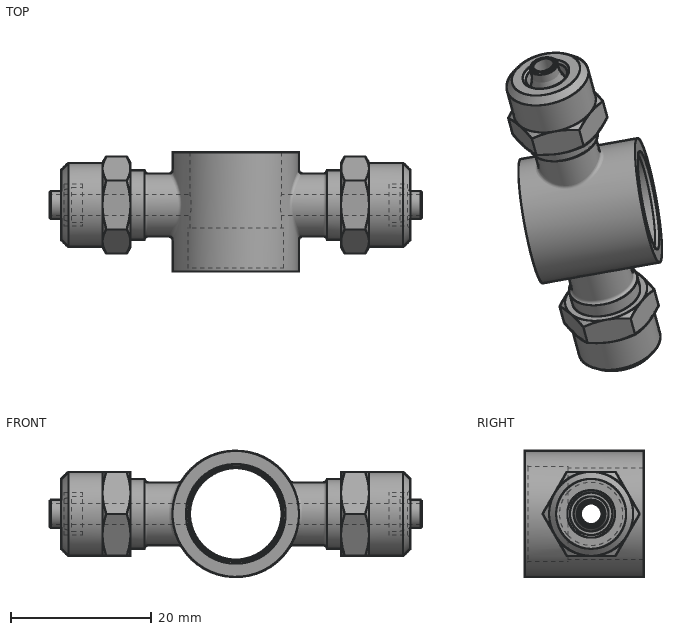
import cadquery as cq
import math

ring_radius = 9.0
ring_front_y = -9.5
ring_length = 17.0
bore_radius = 6.8
narrow_bore_radius = 6.5
wide_bore_depth = 6.2
bore_mouth_radius = 7.1
bore_mouth_depth = 0.55

tip_radius = 2.0
tip_chamfer = 0.2
barb_root_radius = 2.5
barb_cone_length = 1.5
neck_radius = 4.5
neck_fillet = 0.5
collar_radius = 5.0
passage_radius = 1.5

tip_x = 26.5
nut_face_x = 24.85
hex_outer_x = 19.0
hex_inner_x = 15.0
collar_end_x = 13.0

nut_radius = 6.0
nut_chamfer = 1.0
hex_sides = 6
hex_chamfer_angle = 30.0
socket_radius = 3.0
socket_mouth_chamfer = 0.35
socket_depth = 3.0


def cylinder_x(radius, start, end):
    """Cylinder on the X axis between two distances from the ring axis."""
    return cq.Workplane("YZ").workplane(offset=start).circle(radius).extrude(end - start)


def revolve_about_x(profile):
    """Revolve a closed (x, radius) profile around the X axis."""
    return cq.Workplane("XY").polyline(profile).close().revolve(360, (0, 0), (1, 0))


def make_ring():
    return (
        cq.Workplane("XZ", origin=(0, ring_front_y, 0))
        .circle(ring_radius)
        .extrude(-ring_length)
    )


def make_ring_bore():
    """Stepped through bore with a chamfered mouth on the -Y end."""
    mouth_end_y = ring_front_y + bore_mouth_depth
    step_y = ring_front_y + wide_bore_depth
    back_y = ring_front_y + ring_length
    profile = [
        (0, ring_front_y),
        (bore_mouth_radius, ring_front_y),
        (bore_radius, mouth_end_y),
        (bore_radius, step_y),
        (narrow_bore_radius, step_y),
        (narrow_bore_radius, back_y),
        (0, back_y),
    ]
    return cq.Workplane("XY").polyline(profile).close().revolve(360, (0, 0), (0, 1))


def make_hex():
    """Hexagon with corners along Y, its corners bevelled at both ends."""
    corner_radius = nut_radius / math.cos(math.pi / hex_sides)
    bevel = (corner_radius - nut_radius) * math.tan(math.radians(hex_chamfer_angle))
    prism = (
        cq.Workplane("YZ")
        .workplane(offset=hex_inner_x)
        .polygon(hex_sides, 2 * corner_radius)
        .extrude(hex_outer_x - hex_inner_x)
    )
    envelope = revolve_about_x([
        (hex_inner_x, 0),
        (hex_inner_x, nut_radius),
        (hex_inner_x + bevel, corner_radius),
        (hex_outer_x - bevel, corner_radius),
        (hex_outer_x, nut_radius),
        (hex_outer_x, 0),
    ])
    return prism.intersect(envelope)


def make_nut():
    """Round nut body, hexagon and collar, with the hose socket in its outer face."""
    barrel = cylinder_x(nut_radius, hex_outer_x, nut_face_x).faces(">X").chamfer(nut_chamfer)
    collar = cylinder_x(collar_radius, collar_end_x, hex_inner_x)
    socket_mouth_radius = socket_radius + socket_mouth_chamfer
    socket = revolve_about_x([
        (nut_face_x - socket_depth, 0),
        (nut_face_x - socket_depth, socket_radius),
        (nut_face_x - socket_mouth_chamfer, socket_radius),
        (nut_face_x, socket_mouth_radius),
        (nut_face_x, 0),
    ])
    return barrel.union(make_hex()).union(collar).cut(socket)


def make_barb():
    """Hose spigot: chamfered tip, straight length, then a flare to a root on the socket floor."""
    floor_x = nut_face_x - socket_depth
    return revolve_about_x([
        (floor_x, 0),
        (floor_x, barb_root_radius),
        (nut_face_x - barb_cone_length, barb_root_radius),
        (nut_face_x, tip_radius),
        (tip_x - tip_chamfer, tip_radius),
        (tip_x, tip_radius - tip_chamfer),
        (tip_x, 0),
    ])


def make_collar_blend():
    """Concave round between the neck and the end face of the collar."""
    blend = collar_radius - neck_radius
    blend_start_x = collar_end_x - blend
    diagonal = blend * math.sqrt(0.5)
    return (
        cq.Workplane("XY")
        .moveTo(blend_start_x, neck_radius)
        .threePointArc(
            (blend_start_x + diagonal, collar_radius - diagonal),
            (collar_end_x, collar_radius),
        )
        .lineTo(collar_end_x, 0)
        .lineTo(blend_start_x, 0)
        .close()
        .revolve(360, (0, 0), (1, 0))
    )


def mirrored_pair(branch):
    return branch.union(branch.mirror("YZ"))


neck = cylinder_x(neck_radius, -collar_end_x, collar_end_x)
body = make_ring().union(neck)
joint_reach_x = ring_radius + neck_fillet
joint_reach = neck_radius + neck_fillet
joint_zone = cq.selectors.BoxSelector(
    (-joint_reach_x, -joint_reach, -joint_reach),
    (joint_reach_x, joint_reach, joint_reach),
    boundingbox=True,
)
body = body.edges(joint_zone).fillet(neck_fillet)

fitting = make_nut().union(make_barb()).union(make_collar_blend())
body = body.union(mirrored_pair(fitting))

passage = cylinder_x(passage_radius, -tip_x, tip_x)
result = body.cut(make_ring_bore()).cut(passage)